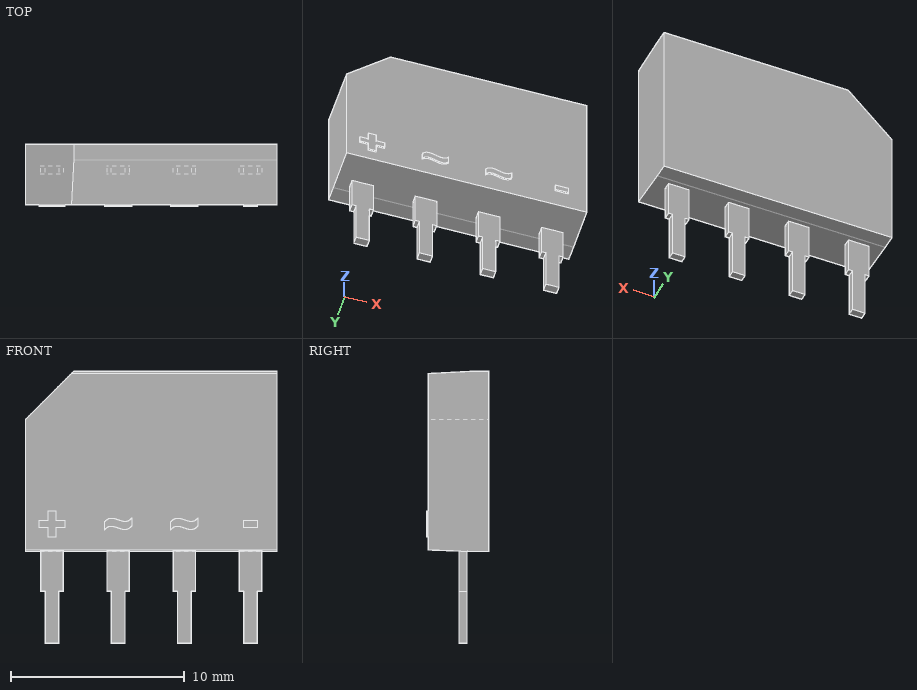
import cadquery as cq
import math


body_width = 14.5
body_height = 10.4
body_depth = 3.5
corner_cut = 2.8
straight_depth = 0.93
top_draft = 3.0
bottom_draft = 2.0

overall_height = 15.69
lead_length = overall_height - body_height
lead_count = 4
lead_pitch = 3.81
lead_wide = 1.3
lead_narrow = 0.8
lead_thickness = 0.47
lead_center_depth = 1.49
shoulder_length = 2.29
lead_embed = 0.78

mark_height = 0.1
mark_embed = 0.08
mark_level = 1.6
plus_size = 1.5
plus_stem = 0.47
bar_height = 0.41
minus_width = lead_narrow
wave_half_width = 0.78
wave_start = 0.11
wave_crest = (-0.27, 0.31)
wave_trough = (0.36, 0.14)
wave_end = 0.35

half_width = body_width / 2
lead_positions = [(i - (lead_count - 1) / 2) * lead_pitch for i in range(lead_count)]


def make_body():
    """Drafted block with one cut corner."""
    drafted_depth = body_depth - straight_depth
    top_drop = drafted_depth * math.tan(math.radians(top_draft))
    bottom_rise = drafted_depth * math.tan(math.radians(bottom_draft))
    side_profile = (
        cq.Workplane("YZ", origin=(-half_width, 0, 0))
        .moveTo(0, 0)
        .lineTo(0, body_height)
        .lineTo(-straight_depth, body_height)
        .lineTo(-body_depth, body_height - top_drop)
        .lineTo(-body_depth, bottom_rise)
        .lineTo(-straight_depth, 0)
        .close()
    )
    corner = (
        cq.Workplane("XZ")
        .moveTo(-half_width, body_height - corner_cut)
        .lineTo(-half_width, body_height)
        .lineTo(-half_width + corner_cut, body_height)
        .close()
        .extrude(body_depth)
    )
    return side_profile.extrude(body_width).cut(corner)


def make_lead(x):
    """Flat lead with a wide shoulder under the body and a narrow tip."""
    half_wide = lead_wide / 2
    half_narrow = lead_narrow / 2
    return (
        cq.Workplane("XZ", origin=(x, lead_thickness / 2 - lead_center_depth, 0))
        .moveTo(-half_wide, lead_embed)
        .lineTo(half_wide, lead_embed)
        .lineTo(half_wide, -shoulder_length)
        .lineTo(half_narrow, -shoulder_length)
        .lineTo(half_narrow, -lead_length)
        .lineTo(-half_narrow, -lead_length)
        .lineTo(-half_narrow, -shoulder_length)
        .lineTo(-half_wide, -shoulder_length)
        .close()
        .extrude(lead_thickness)
    )


def mark_plane(x):
    """Sketch plane just inside the front face, centered on a mark."""
    return cq.Workplane("XZ", origin=(x, mark_embed - body_depth, mark_level))


def make_bar(x, width, height):
    return mark_plane(x).rect(width, height).extrude(mark_embed + mark_height)


def make_plus(x):
    return make_bar(x, plus_size, bar_height).union(make_bar(x, plus_stem, plus_size))


def make_wave(x):
    """Alternating-current mark; its lower edge is the upper edge turned half a turn."""
    upper = [(-wave_half_width, wave_start), wave_crest, wave_trough, (wave_half_width, wave_end)]
    lower = [(-px, -pz) for px, pz in upper]
    return (
        mark_plane(x)
        .moveTo(*upper[0])
        .spline(upper[1:], includeCurrent=True)
        .lineTo(*lower[0])
        .spline(lower[1:], includeCurrent=True)
        .close()
        .extrude(mark_embed + mark_height)
    )


result = make_body()
for lead_x in lead_positions:
    result = result.union(make_lead(lead_x))

result = result.union(make_plus(lead_positions[0]))
for wave_x in lead_positions[1:-1]:
    result = result.union(make_wave(wave_x))
result = result.union(make_bar(lead_positions[-1], minus_width, bar_height))